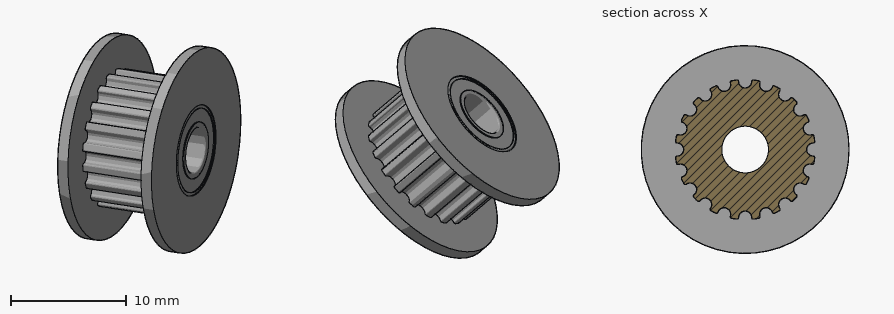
import cadquery as cq
import math

width = 9.0
flange_diameter = 18.0
flange_thickness = 1.0

tooth_count = 20
hub_diameter = 12.14
groove_depth = 0.74
groove_radius = 0.555
tip_radius = 0.15

bore_diameter = 4.0
bore_rounding = 0.15
inner_race_diameter = 5.0
shield_diameter = 7.4
shield_recess = 0.1
bearing_diameter = 8.0
bearing_rounding = 0.15

hub_radius = hub_diameter / 2
hub_length = width - 2 * flange_thickness
half_width = width / 2


def polar(radius, angle):
    """Point in the YZ plane at an angle in radians."""
    return (radius * math.cos(angle), radius * math.sin(angle))


def rotated(point, angle):
    """Point turned about the pulley axis."""
    y, z = point
    return (
        y * math.cos(angle) - z * math.sin(angle),
        y * math.sin(angle) + z * math.cos(angle),
    )


def point_on_circle(centre, radius, angle):
    """Point on a circle in the YZ plane that need not be centred on the axis."""
    dy, dz = polar(radius, angle)
    return (centre[0] + dy, centre[1] + dz)


def make_hub():
    """Extrude the toothed outline, one groove and one tooth tip per pitch."""
    pitch_angle = 2 * math.pi / tooth_count
    groove_centre = hub_radius - groove_depth + groove_radius
    tip_centre_radius = hub_radius - tip_radius

    centre_distance = groove_radius + tip_radius
    cos_half = (groove_centre**2 + tip_centre_radius**2 - centre_distance**2) / (
        2 * groove_centre * tip_centre_radius
    )
    half_angle = math.acos(cos_half)
    tip_centre = polar(tip_centre_radius, half_angle)
    contact_angle = math.atan2(tip_centre[1], tip_centre[0] - groove_centre)

    groove_end = point_on_circle((groove_centre, 0), groove_radius, contact_angle)
    groove_start = (groove_end[0], -groove_end[1])
    groove_bottom = (hub_radius - groove_depth, 0)
    tip_middle_angle = (contact_angle - math.pi + half_angle) / 2
    tip_middle = point_on_circle(tip_centre, tip_radius, tip_middle_angle)
    land_start = polar(hub_radius, half_angle)
    land_middle = polar(hub_radius, pitch_angle / 2)
    land_end = polar(hub_radius, pitch_angle - half_angle)
    next_tip_middle = rotated((tip_middle[0], -tip_middle[1]), pitch_angle)
    next_groove_start = rotated(groove_start, pitch_angle)

    outline = cq.Workplane("YZ", origin=(-hub_length / 2, 0, 0)).moveTo(*groove_start)
    for index in range(tooth_count):
        turn = index * pitch_angle
        for middle, end in (
            (groove_bottom, groove_end),
            (tip_middle, land_start),
            (land_middle, land_end),
            (next_tip_middle, next_groove_start),
        ):
            outline = outline.threePointArc(rotated(middle, turn), rotated(end, turn))
    return outline.close().extrude(hub_length)


def make_flange(start_x):
    """Plain disc whose -X face lies at start_x."""
    plane = cq.Workplane("YZ", origin=(start_x, 0, 0))
    return plane.circle(flange_diameter / 2).extrude(flange_thickness)


def make_bearing_face_cut():
    """Material removed around the bearing on the -X face."""
    shield = (
        cq.Workplane("YZ", origin=(-half_width, 0, 0))
        .circle(shield_diameter / 2)
        .circle(inner_race_diameter / 2)
        .extrude(shield_recess)
    )
    bearing_radius = bearing_diameter / 2
    edge_groove = (
        cq.Workplane("XY")
        .moveTo(-half_width, bearing_radius)
        .lineTo(-half_width + bearing_rounding, bearing_radius)
        .radiusArc((-half_width, bearing_radius - bearing_rounding), -bearing_rounding)
        .close()
        .revolve(360, (0, 0, 0), (1, 0, 0))
    )
    return shield.union(edge_groove)


def make_bore():
    """Through bore, rounded over at both ends."""
    bore_radius = bore_diameter / 2
    mouth_radius = bore_radius + bore_rounding
    return (
        cq.Workplane("XY")
        .moveTo(-half_width, 0)
        .lineTo(-half_width, mouth_radius)
        .radiusArc((-half_width + bore_rounding, bore_radius), -bore_rounding)
        .lineTo(half_width - bore_rounding, bore_radius)
        .radiusArc((half_width, mouth_radius), -bore_rounding)
        .lineTo(half_width, 0)
        .close()
        .revolve(360, (0, 0, 0), (1, 0, 0))
    )


face_cut = make_bearing_face_cut()
pulley = make_hub().union(make_flange(-half_width)).union(make_flange(hub_length / 2))
result = pulley.cut(make_bore()).cut(face_cut).cut(face_cut.mirror("YZ"))